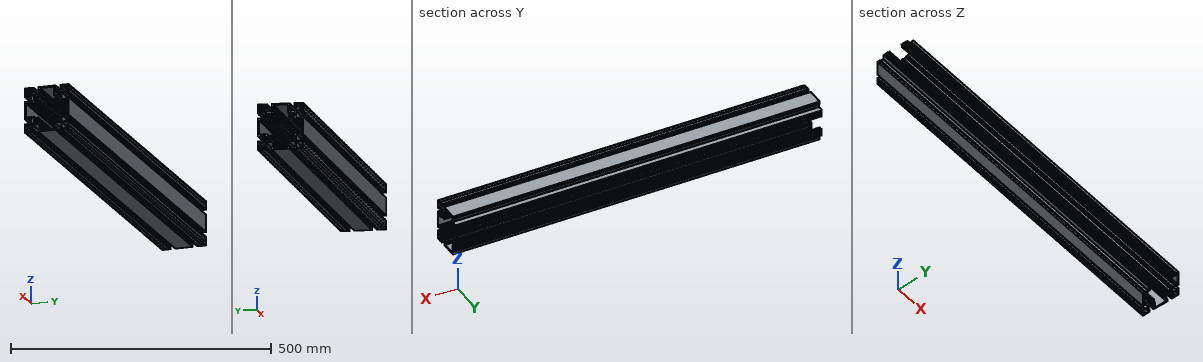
import cadquery as cq

length = 800.0
width = 90.0
half_width = width / 2

slot_opening = 10.0
slot_undercut = 1.8
lip_height = 6.0

thin_wall = 1.3
face_wall = 2.8
ridged_floor_wall = 4.6
channel_rib = 1.0
channel_rib_length = 6.0

corner_radius = 2.0
tick_width = 1.3
tick_height = 1.1
tick_offset = 7.6

chamber_roof_wall = 3.4
chamber_size = 8.0
ridge_width = 1.2
ridge_count = 3
bead_radius = 1.9

slot_centre = half_width / 2
opening_outer = slot_centre + slot_opening / 2
opening_inner = slot_centre - slot_opening / 2
slot_outer = opening_outer + slot_undercut
slot_inner = opening_inner - slot_undercut
lip_underside = half_width - lip_height
cell_inner = slot_outer + thin_wall
cell_outer = half_width - thin_wall
slot_floor = cell_inner
floor_underside = slot_floor - ridged_floor_wall
channel_side = slot_inner - thin_wall
rib_side = channel_side - channel_rib
chamber_outer = slot_floor - chamber_roof_wall
chamber_inner = chamber_outer - chamber_size
bead_centre = chamber_inner - thin_wall / 2
ridge_pitch = (chamber_size + ridge_width) / (ridge_count + 1)


def bar(y_min, y_max, z_min, z_max):
    """Full-length bar whose section fills the given Y and Z limits."""
    centre = (0, (y_min + y_max) / 2, (z_min + z_max) / 2)
    return cq.Workplane("XY").box(length, y_max - y_min, z_max - z_min).translate(centre)


def with_diagonal_twin(shape):
    """Add the copy with Y and Z swapped."""
    return shape.union(shape.rotate((0, 0, 0), (0, 1, 1), 180))


def corner_cell():
    """Hollow corner box with a lip over each neighbouring slot and a tick inside each outer wall."""
    cell = bar(slot_outer, half_width, slot_outer, half_width)
    cell = cell.edges("|X and >Y and >Z").fillet(corner_radius)
    cell = cell.cut(bar(cell_inner, cell_outer, cell_inner, cell_outer))
    lip = bar(opening_outer, cell_inner, lip_underside, half_width)
    tick_start = slot_outer + tick_offset
    tick = bar(tick_start, tick_start + tick_width, cell_outer - tick_height, cell_outer)
    return cell.union(with_diagonal_twin(lip.union(tick)))


def face_channel():
    """Half of the flat outer face with its lip and the wall between slot and centre channel."""
    face = bar(0, opening_inner, half_width - face_wall, half_width)
    lip = bar(rib_side, opening_inner, lip_underside, half_width)
    side = bar(channel_side, slot_inner, floor_underside, half_width)
    rib = bar(rib_side, channel_side, slot_floor, slot_floor + channel_rib_length)
    return with_diagonal_twin(face.union(lip).union(side).union(rib))


def slot_floors():
    return with_diagonal_twin(bar(channel_side, slot_floor, floor_underside, slot_floor))


def core_chamber():
    """Two thin webs hanging from the slot floors, joined by the bead."""
    web = bar(chamber_inner - thin_wall, chamber_inner, bead_centre, slot_floor)
    bead = cq.Workplane("YZ").center(bead_centre, bead_centre).circle(bead_radius).extrude(length / 2, both=True)
    return with_diagonal_twin(web).union(bead)


def chamber_grooves():
    """Recesses between the grip ridges."""
    grooves = cq.Workplane("XY")
    for index in range(ridge_count + 1):
        start = chamber_inner + index * ridge_pitch
        end = start + ridge_pitch - ridge_width
        grooves = grooves.union(bar(start, end, floor_underside, chamber_outer))
    return with_diagonal_twin(grooves)


quarter = corner_cell().union(face_channel()).union(slot_floors()).cut(chamber_grooves()).union(core_chamber())
half = quarter.union(quarter.mirror("XZ"))
result = half.union(half.mirror("XY")).clean()